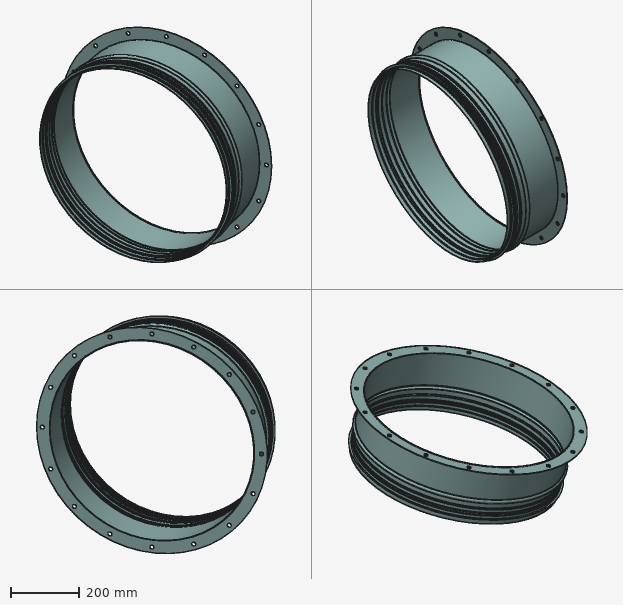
import cadquery as cq


flange_diameter = 709.0
flange_thickness = 3.0
hole_count = 16
hole_diameter = 12.0
bolt_circle_diameter = 673.5

tube_length = 197.0
tube_radius = 632.0 / 2
tube_bore_radius = 627.0 / 2
sheet = tube_radius - tube_bore_radius

bead_radius = 644.5 / 2
bead_height = bead_radius - tube_radius
bead_distance = 120.0
bead_half_width = 6.75
bead_root_fillet_radius = 1.5

groove_depth = 3.0
groove_floor_radius = tube_radius - groove_depth
steep_wall_run = 1.0
plain_groove_start = 142.5
plain_groove_end = 162.0
plain_groove_slope_run = 3.5
lip_groove_start = 167.0
lip_groove_end = 183.5
lip_groove_slope_run = 3.0

ridge_overhang = 1.5
ridge_fillet_radius = 1.5

plain_seal_radius = tube_radius
plain_seal_start = 148.0
plain_seal_end = 157.5
lip_seal_radius = 630.0 / 2
lip_radius = bead_radius
lip_thickness = 0.6
lip_sweep = 0.4
lip_end = 179.0
seal_chamfer_run = 2.0


def revolve_ring(profile):
    """Turn an outline of (radius, Y) points about the Y axis."""
    return profile.close().revolve(360, (0, 0, 0), (0, 1, 0))


def make_flange():
    """Flat ring around the tube end, with a circle of bolt holes."""
    ring = (
        cq.Workplane("XZ")
        .circle(flange_diameter / 2)
        .circle(tube_bore_radius)
        .extrude(flange_thickness)
    )
    holes = (
        cq.Workplane("XZ")
        .polarArray(bolt_circle_diameter / 2, 0, 360, hole_count)
        .circle(hole_diameter / 2)
        .extrude(flange_thickness)
    )
    return ring.cut(holes).solids()


def add_bead(profile, wall_radius, half_width):
    """Run the outline along the wall and over the bead; a negative half width runs it backward."""
    return profile.lineTo(wall_radius, half_width - bead_distance).threePointArc(
        (wall_radius + bead_height, -bead_distance), (wall_radius, -half_width - bead_distance)
    )


def groove_points(start, end, slope_run):
    """Corners of a groove on the outside of the wall, from the flange toward the open end."""
    return [
        (tube_radius, -start),
        (groove_floor_radius, -start - slope_run),
        (groove_floor_radius, steep_wall_run - end),
        (tube_radius, -end),
    ]


def ridge_points(start, end, slope_run):
    """Corners of the ridge that a groove makes in the bore, with metal beside the steep wall."""
    ridge_end = end + ridge_overhang
    return [(radius - sheet, y) for radius, y in groove_points(start, ridge_end, slope_run)]


def is_ridge_crest_edge(edge):
    """True for the circles that bound the crests of the two ridges, the narrowest in the tube."""
    return edge.radius() < tube_bore_radius - groove_depth / 2


def is_bead_root_edge(edge):
    """True for the circles where the bead leaves the tube wall, inside and outside."""
    return abs(-edge.Center().y - bead_distance) < bead_half_width + sheet


def make_tube():
    """Thin tube whose wall follows the bead and the two grooves on both sides."""
    plain_groove = (plain_groove_start, plain_groove_end, plain_groove_slope_run)
    lip_groove = (lip_groove_start, lip_groove_end, lip_groove_slope_run)
    corners = [
        *groove_points(*plain_groove),
        *groove_points(*lip_groove),
        (tube_radius, -tube_length),
        (tube_bore_radius, -tube_length),
        *reversed(ridge_points(*lip_groove)),
        *reversed(ridge_points(*plain_groove)),
    ]
    profile = cq.Workplane("XY").moveTo(tube_bore_radius, -flange_thickness)
    profile = profile.lineTo(tube_radius, -flange_thickness)
    profile = add_bead(profile, tube_radius, bead_half_width)
    for radius, y in corners:
        profile = profile.lineTo(radius, y)
    profile = add_bead(profile, tube_bore_radius, sheet - bead_half_width)
    tube = revolve_ring(profile)
    crest_edges = tube.edges("%CIRCLE").filter(is_ridge_crest_edge)
    tube = crest_edges.fillet(ridge_fillet_radius)
    bead_root_edges = tube.edges("%CIRCLE").filter(is_bead_root_edge)
    return bead_root_edges.fillet(bead_root_fillet_radius).solids()


def make_plain_seal():
    """Seal ring flush with the tube, chamfered toward the open end."""
    outline = [
        (groove_floor_radius, -plain_seal_start),
        (plain_seal_radius, -plain_seal_start),
        (plain_seal_radius, -plain_seal_end),
        (groove_floor_radius, -plain_seal_end - seal_chamfer_run),
    ]
    return revolve_ring(cq.Workplane("XY").polyline(outline))


def make_lip_seal():
    """Seal ring with a thin lip that leans slightly toward the flange."""
    lip_seal_start = lip_groove_start + lip_groove_slope_run
    outline = [
        (groove_floor_radius, -lip_seal_start),
        (lip_seal_radius, -lip_seal_start),
        (lip_seal_radius, lip_thickness - lip_end),
        (lip_radius, lip_thickness + lip_sweep - lip_end),
        (lip_radius, lip_sweep - lip_end),
        (lip_seal_radius, -lip_end),
        (groove_floor_radius, -lip_end - seal_chamfer_run),
    ]
    return revolve_ring(cq.Workplane("XY").polyline(outline))


flange = make_flange()
tube = make_tube()
plain_seal = make_plain_seal()
lip_seal = make_lip_seal()

result = cq.Compound.makeCompound(
    [flange.val(), tube.val(), plain_seal.val(), lip_seal.val()]
)